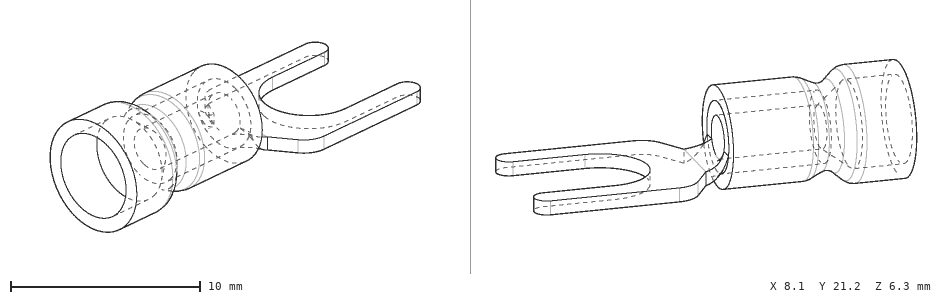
import cadquery as cq

TOTAL_LENGTH = 21.2
SLEEVE_LENGTH = 10.0
FORK_START = 11.28

REAR_RADIUS = 3.15
FRONT_RADIUS = 2.78
WAIST_CORNER_RADIUS = 2.18
REAR_CORNER_Y = 3.03
WAIST_CORNER_Y = 4.15
FRONT_CORNER_Y = 5.43
PROFILE_FILLET = 0.75
WIRE_BORE_RADIUS = 2.37
WIRE_BORE_DEPTH = 2.75
FUNNEL_END = 4.35

BARREL_RADIUS = 1.95
METAL_THICKNESS = 0.78
BARREL_BORE_RADIUS = BARREL_RADIUS - METAL_THICKNESS
PLATE_BOTTOM = -BARREL_RADIUS
PLATE_TOP = PLATE_BOTTOM + METAL_THICKNESS
LIP_Z = -0.45
LIP_INNER_X = (BARREL_BORE_RADIUS**2 - LIP_Z**2) ** 0.5
LIP_OUTER_X = (BARREL_RADIUS**2 - LIP_Z**2) ** 0.5
MIDDLE_BLEND = 0.25

FORK_HALF_WIDTH = 4.05
SLOT_RADIUS = 2.65
SHOULDER_Y = 12.57
SHOULDER_FILLET = 1.48
SLOT_BOTTOM = 13.86
SLOT_CENTER_Y = SLOT_BOTTOM + SLOT_RADIUS
PRONG_END_RADIUS = (FORK_HALF_WIDTH - SLOT_RADIUS) / 2

SELECTION_MARGIN = 0.21


def make_sleeve():
    """Waisted tube with a wire bore, a funnel and a seat for the barrel."""
    outside = (
        cq.Workplane("XY")
        .polyline([
            (0, 0),
            (REAR_RADIUS, 0),
            (REAR_RADIUS, REAR_CORNER_Y),
            (WAIST_CORNER_RADIUS, WAIST_CORNER_Y),
            (FRONT_RADIUS, FRONT_CORNER_Y),
            (FRONT_RADIUS, SLEEVE_LENGTH),
            (0, SLEEVE_LENGTH),
        ])
        .close()
        .revolve(360, (0, 0), (0, 1))
    )
    corner_rings = cq.selectors.BoxSelector(
        (-TOTAL_LENGTH, REAR_CORNER_Y - SELECTION_MARGIN, -TOTAL_LENGTH),
        (TOTAL_LENGTH, FRONT_CORNER_Y + SELECTION_MARGIN, TOTAL_LENGTH),
        boundingbox=True,
    )
    outside = outside.edges(corner_rings).fillet(PROFILE_FILLET)
    inside = (
        cq.Workplane("XY")
        .polyline([
            (0, 0),
            (WIRE_BORE_RADIUS, 0),
            (WIRE_BORE_RADIUS, WIRE_BORE_DEPTH),
            (BARREL_BORE_RADIUS, FUNNEL_END),
            (BARREL_RADIUS, FUNNEL_END),
            (BARREL_RADIUS, SLEEVE_LENGTH),
            (0, SLEEVE_LENGTH),
        ])
        .close()
        .revolve(360, (0, 0), (0, 1))
    )
    return outside.cut(inside)


def make_barrel():
    """Tube held in the sleeve, flush with the sleeve front."""
    return (
        cq.Workplane("XZ", origin=(0, FUNNEL_END, 0))
        .circle(BARREL_RADIUS)
        .circle(BARREL_BORE_RADIUS)
        .extrude(-(SLEEVE_LENGTH - FUNNEL_END))
    )


def trough_section(y, blend):
    """Transition outline at y: blend 0 is the flat plate, 1 is the full trough."""
    inner_x = BARREL_RADIUS + blend * (LIP_INNER_X - BARREL_RADIUS)
    outer_x = BARREL_RADIUS + blend * (LIP_OUTER_X - BARREL_RADIUS)
    inner_z = PLATE_TOP + blend * (LIP_Z - PLATE_TOP)
    outer_z = PLATE_BOTTOM + blend * (LIP_Z - PLATE_BOTTOM)
    outline = cq.Workplane("XZ", origin=(0, y, 0)).moveTo(-inner_x, inner_z).lineTo(-outer_x, outer_z)
    if blend > 0:
        outline = (
            outline.threePointArc((0, PLATE_BOTTOM), (outer_x, outer_z))
            .lineTo(inner_x, inner_z)
            .threePointArc((0, PLATE_TOP), (-inner_x, inner_z))
            .close()
        )
    else:
        outline = outline.lineTo(outer_x, outer_z).lineTo(inner_x, inner_z).close()
    return outline.val()


def make_transition():
    """Trough that flattens from the barrel into the fork plate."""
    middle_y = (SLEEVE_LENGTH + FORK_START) / 2
    sections = [
        trough_section(SLEEVE_LENGTH, 1),
        trough_section(middle_y, MIDDLE_BLEND),
        trough_section(FORK_START, 0),
    ]
    return cq.Workplane(cq.Solid.makeLoft(sections))


def make_fork():
    """Flat plate with sloped shoulders, a round-bottomed slot and rounded prongs."""
    plate = (
        cq.Workplane("XY", origin=(0, 0, PLATE_BOTTOM))
        .polyline([
            (-BARREL_RADIUS, FORK_START),
            (BARREL_RADIUS, FORK_START),
            (FORK_HALF_WIDTH, SHOULDER_Y),
            (FORK_HALF_WIDTH, TOTAL_LENGTH - PRONG_END_RADIUS),
            (-FORK_HALF_WIDTH, TOTAL_LENGTH - PRONG_END_RADIUS),
            (-FORK_HALF_WIDTH, SHOULDER_Y),
        ])
        .close()
        .extrude(METAL_THICKNESS)
    )
    shoulders = cq.selectors.BoxSelector(
        (-TOTAL_LENGTH, SHOULDER_Y - SELECTION_MARGIN, PLATE_BOTTOM),
        (TOTAL_LENGTH, SHOULDER_Y + SELECTION_MARGIN, PLATE_TOP),
    )
    plate = plate.edges("|Z").edges(shoulders).fillet(SHOULDER_FILLET)
    slot = (
        cq.Workplane("XY", origin=(0, 0, PLATE_BOTTOM))
        .moveTo(-SLOT_RADIUS, TOTAL_LENGTH)
        .lineTo(-SLOT_RADIUS, SLOT_CENTER_Y)
        .threePointArc((0, SLOT_BOTTOM), (SLOT_RADIUS, SLOT_CENTER_Y))
        .lineTo(SLOT_RADIUS, TOTAL_LENGTH)
        .close()
        .extrude(METAL_THICKNESS)
    )
    prong_x = SLOT_RADIUS + PRONG_END_RADIUS
    prong_ends = (
        cq.Workplane("XY", origin=(0, 0, PLATE_BOTTOM))
        .pushPoints([(side * prong_x, TOTAL_LENGTH - PRONG_END_RADIUS) for side in (-1, 1)])
        .circle(PRONG_END_RADIUS)
        .extrude(METAL_THICKNESS)
    )
    return plate.cut(slot).union(prong_ends)


sleeve = make_sleeve()
terminal = make_barrel().union(make_transition()).union(make_fork())

result = cq.Compound.makeCompound([sleeve.val(), *terminal.vals()])